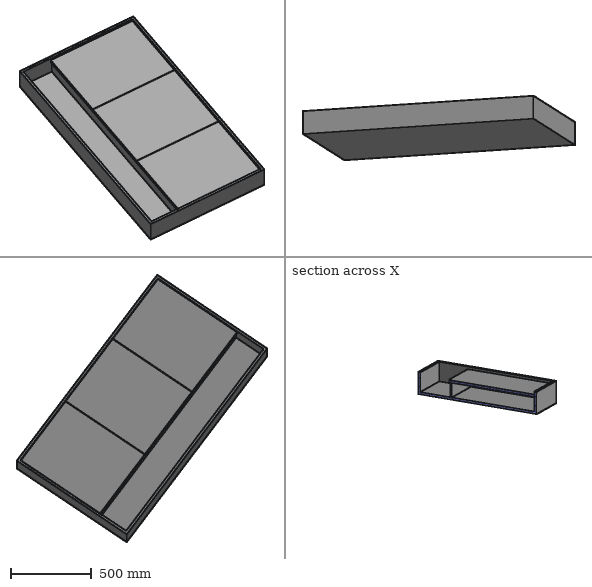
import cadquery as cq

TRAY_LENGTH = 1500.0
TRAY_WIDTH = 835.0
TRAY_HEIGHT = 145.0
WALL = 16.0
FLOOR = 18.0

LID_THICKNESS = 20.0
LID_RECESS = 16.0
LID_GAP = 3.0
MIDDLE_LID_LENGTH = 501.0
FRONT_TROUGH_WIDTH = 201.0

DIVIDER_THICKNESS = 15.0
LID_OVERHANG = 8.0

INNER_LENGTH = TRAY_LENGTH - 2 * WALL
INNER_WIDTH = TRAY_WIDTH - 2 * WALL
INNER_LEFT = -INNER_LENGTH / 2
INNER_FRONT = -INNER_WIDTH / 2
LID_FRONT = INNER_FRONT + FRONT_TROUGH_WIDTH
LID_WIDTH = INNER_WIDTH - FRONT_TROUGH_WIDTH
LID_BOTTOM = TRAY_HEIGHT - LID_RECESS - LID_THICKNESS
SIDE_LID_LENGTH = (INNER_LENGTH - MIDDLE_LID_LENGTH) / 2 - LID_GAP


def corner_box(length, width, height, corner):
    """Box that extends along +X, +Y and +Z from its lower left front corner."""
    return cq.Workplane("XY").box(length, width, height, centered=False).translate(corner)


def make_tray():
    outside = corner_box(TRAY_LENGTH, TRAY_WIDTH, TRAY_HEIGHT, (-TRAY_LENGTH / 2, -TRAY_WIDTH / 2, 0))
    cavity = corner_box(INNER_LENGTH, INNER_WIDTH, TRAY_HEIGHT - FLOOR, (INNER_LEFT, INNER_FRONT, FLOOR))
    return outside.cut(cavity)


def make_divider():
    """Board from wall to wall, standing on the floor and reaching the underside of the lids."""
    return corner_box(
        INNER_LENGTH,
        DIVIDER_THICKNESS,
        LID_BOTTOM - FLOOR,
        (INNER_LEFT, LID_FRONT + LID_OVERHANG, FLOOR),
    )


def make_lid(left, length):
    return corner_box(length, LID_WIDTH, LID_THICKNESS, (left, LID_FRONT, LID_BOTTOM))


tray = make_tray()
divider = make_divider()

lids = []
lid_left = INNER_LEFT
for lid_length in (SIDE_LID_LENGTH, MIDDLE_LID_LENGTH, SIDE_LID_LENGTH):
    lids.append(make_lid(lid_left, lid_length))
    lid_left += lid_length + LID_GAP

result = cq.Compound.makeCompound([tray.val(), divider.val(), *[lid.val() for lid in lids]])